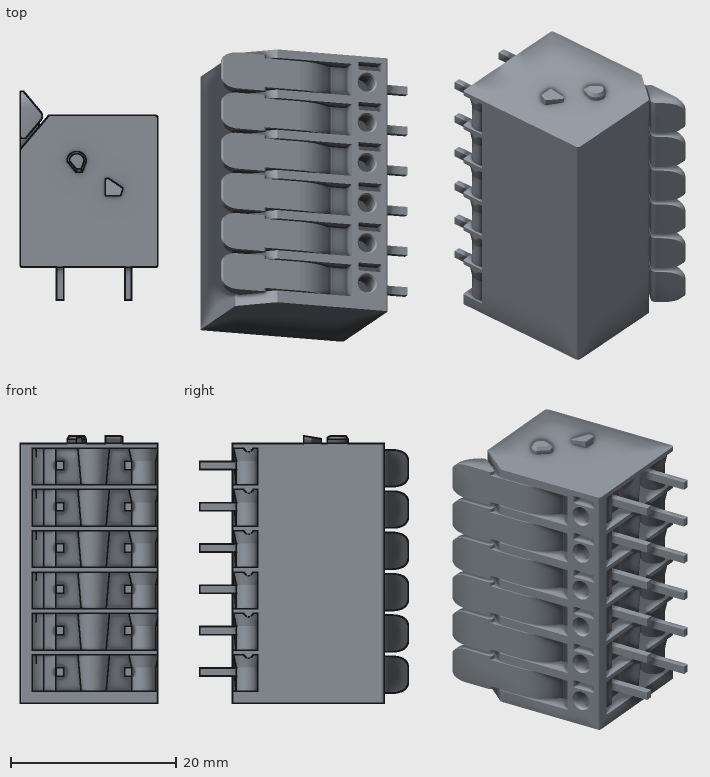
import cadquery as cq
import math


body_width = 16.7
body_depth = 18.4
body_height = 31.5
slope_angle = 50.0
slope_width = 3.5
slope_corner_radius = 0.3
front_corner_radius = 0.3
back_corner_radius = 0.4
slope_tangent = math.tan(math.radians(slope_angle))

pole_count = 6
end_allowance = 1.5
pole_pitch = (body_height - end_allowance) / pole_count
cell_floor = 1.45
cell_height = 4.45
overlap = 0.32

cell_left = 1.45
cell_left_depth = 0.4
bulge_end = (2.7, 0.9)
bulge_radius = 2.25
block_left = 2.88
block_depth = 0.97
block_right = 4.3
left_wall_depth = 1.95
right_wall_depth = 3.08

column_y = 1.95
cone_x = 8.9
cone_bottom_radius = 1.52
cone_top_radius = 1.9
post_x = 14.97
post_diameter = 2.95
post_radius = post_diameter / 2
flare_radius = 1.8
flare_height = 1.55

pin_length = 4.0
pin_height = 1.0
pin_z = 3.3
left_pin = (4.4, 0.9, left_wall_depth)
right_pin = (12.7, 0.8, right_wall_depth)

slot_start = 4.65
slot_depth = 2.3
slot_height = 3.95
lever_height = 3.6
lever_start = 6.45
lever_mid_z = 3.47
lever_end = 17.65
curve_start = 6.67
curve_end = 11.35
curve_radius = 6.15
head_height = 4.47
head_start = 15.6
head_end = 21.32
head_lip = 0.65
head_end_width = 0.4
head_tip_radius = 0.7
head_start_radius = 0.4
head_end_radius = 0.23
head_corner_start = 19.35
head_corner_middle = 20.5
head_corner_middle_drop = 0.23
head_corner_drop = 1.43

entry_diameter = 2.1
entry_mouth_diameter = 2.45
entry_mouth_depth = 0.25
entry_depth = 3.25
entry_y = 2.7
entry_z = 3.27
recess_length = 2.98
recess_height = 0.97
recess_y = 2.3
recess_z = 5.28
recess_depth = 1.95
recess_radius = 0.2

peg_height = 0.9
drop_left = (5.7, 12.8)
drop_top = (6.9, 14.0)
drop_right = (8.0, 12.8)
drop_tip_left = 6.8
drop_tip_right = 7.52
drop_tip_y = 11.47
drop_shoulder_radius = 0.32
drop_chamfer_height = 0.42
drop_chamfer_width = 0.25
wedge_outline = [(10.35, 8.62), (12.15, 8.62), (12.47, 9.55), (10.7, 10.75), (10.35, 10.75)]
wedge_radius = 0.15
wedge_low_height = 0.55


def repeat_poles(shape):
    """Return one copy of the shape at every pole."""
    copies = cq.Workplane("XY")
    for index in range(pole_count):
        copies = copies.add(shape.translate((0, 0, index * pole_pitch)))
    return copies.combine()


def make_body():
    slope_start = body_depth - slope_width * slope_tangent
    outline = [
        (0, 0),
        (body_width, 0),
        (body_width, body_depth),
        (slope_width, body_depth),
        (0, slope_start),
    ]
    body = cq.Workplane("XY").polyline(outline).close().extrude(body_height)
    body = body.edges("|Z and <Y").fillet(front_corner_radius)
    body = body.edges("|Z and >X and >Y").fillet(back_corner_radius)
    slope_edges = cq.selectors.BoxSelector(
        (-overlap, slope_start - overlap, 0), (slope_width + overlap, body_depth + overlap, body_height)
    )
    return body.edges("|Z").edges(slope_edges).fillet(slope_corner_radius)


def make_cell():
    """Cell cavity, open to the pin side and to +X, less the two columns standing in it."""
    right = body_width + overlap
    cavity = (
        cq.Workplane("XY", origin=(0, 0, cell_floor))
        .moveTo(cell_left, -overlap)
        .lineTo(cell_left, cell_left_depth)
        .radiusArc(bulge_end, bulge_radius)
        .lineTo(block_left, block_depth)
        .lineTo(block_right, block_depth)
        .lineTo(block_right, left_wall_depth)
        .lineTo(cone_x, left_wall_depth)
        .lineTo(cone_x, right_wall_depth)
        .lineTo(right, right_wall_depth)
        .lineTo(right, -overlap)
        .close()
        .extrude(cell_height)
    )
    flare_z = cell_floor + cell_height - flare_height
    cone = cq.Solid.makeCone(
        cone_bottom_radius, cone_top_radius, cell_height, pnt=cq.Vector(cone_x, column_y, cell_floor)
    )
    post = cq.Solid.makeCylinder(post_radius, cell_height, pnt=cq.Vector(post_x, column_y, cell_floor))
    flare = cq.Solid.makeCone(
        post_radius, flare_radius, flare_height, pnt=cq.Vector(post_x, column_y, flare_z)
    )
    return cavity.cut(cone).cut(post).cut(flare)


def make_pin(left, width, wall_depth):
    length = pin_length + wall_depth + overlap
    pin = cq.Workplane("XY").box(width, length, pin_height, centered=False)
    return pin.translate((left, -pin_length, pin_z))


def extrude_about_lever(profile, height):
    """Extrude an XY profile symmetrically about the lever's middle height."""
    return profile.extrude(height / 2, both=True).translate((0, 0, lever_mid_z))


def make_slot():
    length = body_depth - slot_start
    slot = cq.Workplane("XY").center(slot_depth / 2 - overlap / 2, slot_start + length / 2)
    return extrude_about_lever(slot.rect(slot_depth + overlap, length), slot_height)


def make_lever_arm():
    curve_span = curve_end - curve_start
    tip_x = curve_radius - math.sqrt(curve_radius**2 - curve_span**2)
    profile = (
        cq.Workplane("XY")
        .moveTo(slot_depth, lever_start)
        .lineTo(tip_x, lever_start)
        .lineTo(tip_x, curve_start)
        .radiusArc((0, curve_end), curve_radius)
        .lineTo(0, lever_end)
        .lineTo(slot_depth, lever_end)
        .close()
    )
    return extrude_about_lever(profile, lever_height)


def make_lever_head():
    """Wide pointed head: one side runs along the housing slope and the other mirrors it."""
    side_rise = (head_end - head_start + slope_tangent * (head_end_width - head_lip)) / 2
    tip_x = head_lip + side_rise / slope_tangent
    tip_y = head_start + side_rise
    outline = [
        (0, head_start),
        (head_lip, head_start),
        (tip_x, tip_y),
        (head_end_width, head_end),
        (0, head_end),
    ]
    head = extrude_about_lever(cq.Workplane("XY").polyline(outline).close(), head_height)
    head = head.edges("|Z and >X").fillet(head_tip_radius)
    head = head.edges("|Z and <X and <Y").fillet(head_start_radius)
    head = head.edges("|Z and <X and >Y").fillet(head_end_radius)
    half = head_height / 2
    rounded = (
        cq.Workplane("YZ", origin=(0, 0, lever_mid_z))
        .moveTo(head_start, -half)
        .lineTo(head_corner_start, -half)
        .tangentArcPoint((head_corner_middle, head_corner_middle_drop - half), relative=False)
        .tangentArcPoint((head_end, head_corner_drop - half), relative=False)
        .lineTo(head_end, half - head_corner_drop)
        .tangentArcPoint((head_corner_middle, half - head_corner_middle_drop), relative=False)
        .tangentArcPoint((head_corner_start, half), relative=False)
        .lineTo(head_start, half)
        .close()
        .extrude(tip_x)
    )
    return head.intersect(rounded)


def make_wire_entry():
    entry = cq.Workplane("YZ").center(entry_y, entry_z).circle(entry_diameter / 2).extrude(entry_depth)
    mouth = cq.Solid.makeCone(
        entry_mouth_diameter / 2,
        entry_diameter / 2,
        entry_mouth_depth,
        pnt=cq.Vector(0, entry_y, entry_z),
        dir=cq.Vector(1, 0, 0),
    )
    return entry.union(cq.Workplane(mouth))


def make_label_recess():
    recess = cq.Workplane("YZ").center(recess_y, recess_z).rect(recess_length, recess_height)
    return recess.extrude(recess_depth).edges("|X and <Z").fillet(recess_radius)


def make_drop_peg():
    """Teardrop peg: a round back narrowing to a blunt tip, with a chamfered top."""
    peg = (
        cq.Workplane("XY", origin=(0, 0, body_height))
        .moveTo(*drop_left)
        .threePointArc(drop_top, drop_right)
        .lineTo(drop_tip_right, drop_tip_y)
        .lineTo(drop_tip_left, drop_tip_y)
        .close()
        .extrude(peg_height)
    )
    peg = peg.edges("|Z and (<X or >X)").fillet(drop_shoulder_radius)
    return peg.faces(">Z").chamfer(drop_chamfer_height, drop_chamfer_width)


def make_wedge_peg():
    """Five-sided peg whose top slopes down towards +Y."""
    peg = cq.Workplane("XY", origin=(0, 0, body_height)).polyline(wedge_outline).close().extrude(peg_height)
    peg = peg.edges("|Z").fillet(wedge_radius)
    wedge_front = min(y for _, y in wedge_outline)
    wedge_back = max(y for _, y in wedge_outline)
    side = (
        cq.Workplane("YZ")
        .polyline([
            (wedge_front, body_height),
            (wedge_front, body_height + peg_height),
            (wedge_back, body_height + wedge_low_height),
            (wedge_back, body_height),
        ])
        .close()
        .extrude(body_width)
    )
    return peg.intersect(side)


pole_cuts = [make_cell(), make_slot(), make_wire_entry(), make_label_recess()]
pole_parts = [make_pin(*left_pin), make_pin(*right_pin), make_lever_arm().union(make_lever_head())]

result = make_body()
for cut in pole_cuts:
    result = result.cut(repeat_poles(cut))
for part in pole_parts:
    result = result.union(repeat_poles(part))
result = result.union(make_drop_peg()).union(make_wedge_peg())